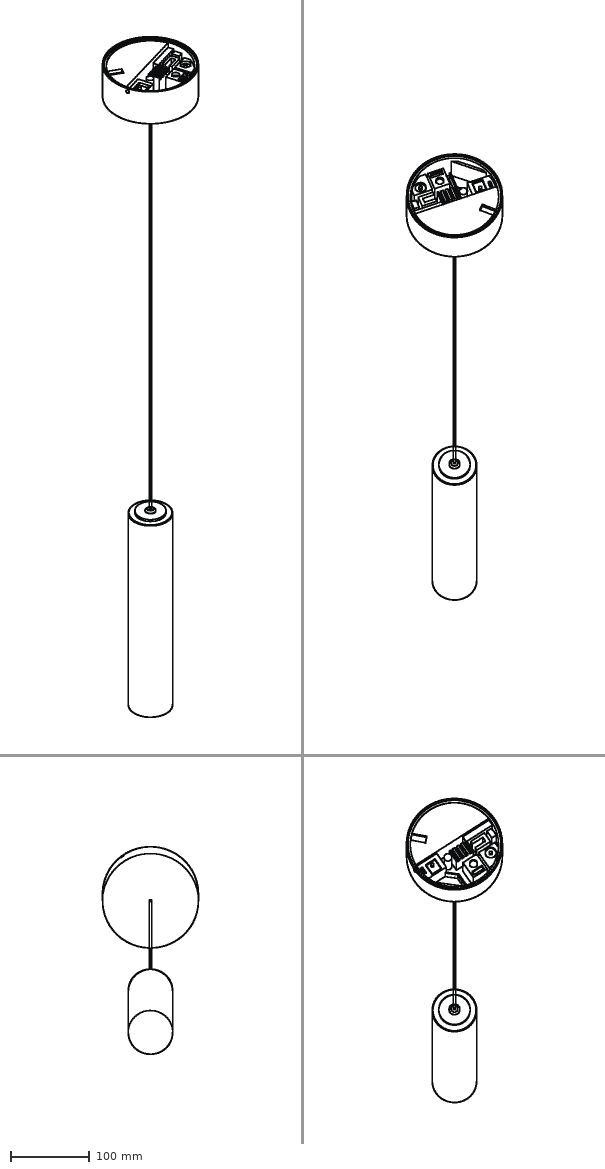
import cadquery as cq
import math

total_height = 1000.3
top_z = total_height / 2
bottom_z = -total_height / 2

canopy_dia = 122.84
canopy_height = 50.0
canopy_floor = 3.0
canopy_bottom_z = top_z - canopy_height
floor_z = canopy_bottom_z + canopy_floor
rim_wall = 2.0
ledge_width = 3.0
ledge_z = top_z - 2.0
rim_inner_dia = canopy_dia - 2 * rim_wall
cavity_dia = rim_inner_dia - 2 * ledge_width

cover_z = top_z - 3.0
cover_edge_x = -5.0
cover_slot_width = 9.0
cover_slot_start = 37.0
cover_slot_depth = 5.0
cover_slot_angle = 225.0

screw_hole_dia = 4.4
screw_hole_drop = 5.0

fittings_z = top_z - 10.0
fitting_pocket_depth = 4.0
terminal_min = (24.0, -3.0)
terminal_max = (48.0, 18.0)
terminal_screw_xy = (32.5, 7.5)
terminal_screw_dia = 10.0
terminal_slot_center_xy = (43.0, 7.5)
terminal_slot_size = (5.0, 15.0)
clamp_min = (24.0, 21.0)
clamp_max = (48.0, 46.0)
clamp_recess_xy = (32.5, 34.0)
clamp_recess_dia = 14.0
screw_dia = 4.0
bracket_min = (6.0, 21.0)
bracket_max = (20.0, 42.0)
bracket_gap_width = 6.0
bracket_web = 5.0
rail_max_x = 3.0
rail_min_y = 16.0
post_xy = (7.5, -15.0)
post_dia = 10.0
lower_block_min = (cover_edge_x, -56.0)
lower_block_max = (17.0, -24.0)
lower_pocket_center_xy = (7.5, -37.0)
lower_pocket_size = (15.0, 14.0)
lower_stud_xy = (4.5, -37.0)
end_pocket_center_xy = (4.5, -51.0)
end_pocket_size = (9.0, 3.0)
end_block_min = (6.0, 46.0)
end_block_max = (17.0, 53.0)
driver_min = (1.5, -9.0)
driver_max = (18.0, 17.0)
driver_groove_count = 4
driver_groove_width = 3.0
partition_height = 15.0
partition_width = 2.0
partition_start = (16.0, -25.0)
partition_bend = (28.0, -12.0)
partition_end_x = 50.0
web_distance = 51.0
web_thickness = 3.0
web_angle = 318.0

cable_dia = 3.0
lamp_dia = 57.0
lamp_length = 300.0
lamp_edge_chamfer = 1.0
cap_dia = 40.0
cap_height = 3.0
gland_dia = 14.0
gland_top_dia = 9.0
gland_height = 3.0
gland_base_height = 0.6
lamp_top_z = bottom_z + lamp_length
cap_top_z = lamp_top_z + cap_height
gland_top_z = cap_top_z + gland_height


def cylinder(diameter, low_z, high_z, center=(0, 0)):
    plane = cq.Workplane("XY", origin=(center[0], center[1], low_z))
    return plane.circle(diameter / 2).extrude(high_z - low_z)


def block(low_xy, high_xy, low_z, high_z):
    size_x = high_xy[0] - low_xy[0]
    size_y = high_xy[1] - low_xy[1]
    box = cq.Workplane("XY").box(size_x, size_y, high_z - low_z, centered=False)
    return box.translate((low_xy[0], low_xy[1], low_z))


def pocket(center_xy, size_xy):
    """Cutter for a rectangular pocket in the top of a fitting."""
    plane = cq.Workplane("XY", origin=(center_xy[0], center_xy[1], fittings_z))
    return plane.rect(*size_xy).extrude(-fitting_pocket_depth)


def make_shell():
    """Open cup with a shallow ledge just inside its rim."""
    shell = cylinder(canopy_dia, canopy_bottom_z, top_z)
    shell = shell.cut(cylinder(rim_inner_dia, ledge_z, top_z))
    return shell.cut(cylinder(cavity_dia, floor_z, ledge_z))


def make_cover():
    """Raised block that fills the -X half of the cup, with a radial slot."""
    radius = canopy_dia / 2
    half = block((-radius, -radius), (cover_edge_x, radius), floor_z, cover_z)
    slot_length = radius - cover_slot_start
    slot = cq.Workplane("XY", origin=(0, 0, cover_z - cover_slot_depth))
    slot = slot.center(cover_slot_start + slot_length / 2, 0).rect(slot_length, cover_slot_width)
    slot = slot.extrude(cover_slot_depth).rotate((0, 0, 0), (0, 0, 1), cover_slot_angle)
    return half.cut(slot)


def make_terminal():
    terminal = block(terminal_min, terminal_max, floor_z, fittings_z)
    pocket_z = fittings_z - fitting_pocket_depth
    terminal = terminal.cut(cylinder(terminal_screw_dia, pocket_z, fittings_z, terminal_screw_xy))
    return terminal.cut(pocket(terminal_slot_center_xy, terminal_slot_size))


def make_clamp():
    """Block with a round recess around a screw head."""
    clamp = block(clamp_min, clamp_max, floor_z, fittings_z)
    pocket_z = fittings_z - fitting_pocket_depth
    recess = cylinder(clamp_recess_dia, pocket_z, fittings_z, clamp_recess_xy)
    screw = cylinder(screw_dia, pocket_z, fittings_z, clamp_recess_xy)
    return clamp.cut(recess.cut(screw))


def make_bracket():
    """U-shaped bracket, open towards -Y."""
    bracket = block(bracket_min, bracket_max, floor_z, fittings_z)
    middle_x = (bracket_min[0] + bracket_max[0]) / 2
    gap_low = (middle_x - bracket_gap_width / 2, bracket_min[1])
    gap_high = (middle_x + bracket_gap_width / 2, bracket_max[1] - bracket_web)
    return bracket.cut(block(gap_low, gap_high, floor_z, fittings_z))


def make_lower_block():
    """Block with a rectangular pocket and a stud standing in it."""
    lower = block(lower_block_min, lower_block_max, floor_z, fittings_z)
    stud = cylinder(screw_dia, fittings_z - fitting_pocket_depth, fittings_z, lower_stud_xy)
    lower = lower.cut(pocket(end_pocket_center_xy, end_pocket_size))
    return lower.cut(pocket(lower_pocket_center_xy, lower_pocket_size).cut(stud))


def make_driver():
    """Block with evenly spaced grooves across its top."""
    driver = block(driver_min, driver_max, floor_z, fittings_z)
    middle_x = (driver_min[0] + driver_max[0]) / 2
    pitch = (driver_max[1] - driver_min[1]) / driver_groove_count
    groove_length = driver_max[0] - driver_min[0]
    for index in range(driver_groove_count):
        groove_y = driver_min[1] + (index + 0.5) * pitch
        driver = driver.cut(pocket((middle_x, groove_y), (groove_length, driver_groove_width)))
    return driver


def make_partition():
    """Low wall with one bend, standing on the floor of the cup."""
    bend_low = (partition_bend[0], partition_bend[1] - partition_width)
    start_low = (partition_start[0], partition_start[1] - partition_width)
    end_low = (partition_end_x, bend_low[1])
    end_high = (partition_end_x, partition_bend[1])
    outline = [start_low, bend_low, end_low, end_high, partition_bend, partition_start]
    plane = cq.Workplane("XY", origin=(0, 0, floor_z))
    return plane.polyline(outline).close().extrude(partition_height)


def make_web():
    """Straight wall across the corner of the cup."""
    half_length = math.sqrt((canopy_dia / 2) ** 2 - web_distance ** 2)
    low_xy = (web_distance, -half_length)
    high_xy = (web_distance + web_thickness, half_length)
    web = block(low_xy, high_xy, floor_z, fittings_z)
    return web.rotate((0, 0, 0), (0, 0, 1), web_angle)


def make_canopy():
    contents = make_cover()
    rail = block((cover_edge_x, rail_min_y), (rail_max_x, canopy_dia / 2), floor_z, fittings_z)
    post = cylinder(post_dia, floor_z, fittings_z, post_xy)
    end_block = block(end_block_min, end_block_max, floor_z, fittings_z)
    fittings = [make_terminal(), make_clamp(), make_bracket(), make_driver(), make_lower_block()]
    fittings += [rail, post, end_block, make_partition(), make_web()]
    for fitting in fittings:
        contents = contents.union(fitting)
    contents = contents.intersect(cylinder(cavity_dia, floor_z, top_z))
    canopy = make_shell().union(contents)
    cable_hole = cylinder(cable_dia, canopy_bottom_z, floor_z)
    screw_plane = cq.Workplane("XZ", origin=(0, -cavity_dia / 2, top_z - screw_hole_drop))
    screw_hole = screw_plane.circle(screw_hole_dia / 2).extrude(canopy_dia / 2)
    return canopy.cut(cable_hole).cut(screw_hole)


def make_cable():
    return cylinder(cable_dia, gland_top_z, floor_z)


def make_lamp():
    """Tube-shaped lamp with a chamfered end, a stepped cap and a tapered cable gland."""
    tube = cylinder(lamp_dia, bottom_z, lamp_top_z).faces(">Z").chamfer(lamp_edge_chamfer)
    cap = cylinder(cap_dia, lamp_top_z, cap_top_z)
    gland = cylinder(gland_dia, cap_top_z, gland_top_z)
    taper_height = gland_height - gland_base_height
    gland = gland.faces(">Z").chamfer(taper_height, (gland_dia - gland_top_dia) / 2)
    return tube.union(cap).union(gland)


canopy = make_canopy()
cable = make_cable()
lamp = make_lamp()
result = cq.Compound.makeCompound([canopy.val(), cable.val(), lamp.val()])